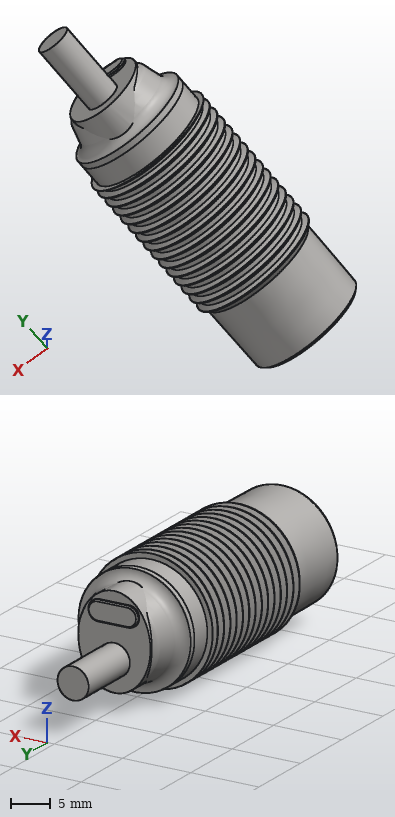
import cadquery as cq
import math


CAP_LENGTH = 10.1
THREAD_END = 32.0
BARREL_END = 35.1
RIM_END = 36.05
CONE_START = 37.55
PLUG_END = 40.9
CABLE_END = 50.9

CAP_FRONT_RADIUS = 8.15
CAP_CHAMFER = 0.35

CREST_RADIUS = 9.0
ROOT_RADIUS = 8.25
FIRST_CREST = 10.95
LAST_CREST = 30.75
RIDGE_COUNT = 14
RIDGE_PITCH = (LAST_CREST - FIRST_CREST) / (RIDGE_COUNT - 1)
CREST_FLAT = 0.15
FLANK_ANGLE = 25.0

CONE_BASE_RADIUS = 6.55
CONE_TOP_RADIUS = 5.9
CONE_TOP = 39.95
CHAMFER_RUN = PLUG_END - CONE_TOP
CONE_EDGE_FILLET = 0.85
SELECT_MARGIN = 0.05
HUB_HALF_WIDTH = 5.3
HUB_HALF_HEIGHT = 6.8

LAMP_WIDTH = 7.35
LAMP_HEIGHT = 2.95
LAMP_THICKNESS = 0.45
LAMP_CHAMFER = 0.2
LAMP_Z = 3.85

CABLE_RADIUS = 2.3
CABLE_Z = -2.4


def revolve_about_y(profile):
    """Turn a closed (radius, Y) profile about the Y axis."""
    return profile.close().revolve(360, (0, 0, 0), (0, 1, 0))


def plane_at(y):
    """Plane facing +Y at the given position, with local Y along global Z."""
    return cq.Workplane(cq.Plane(origin=(0, y, 0), xDir=(-1, 0, 0), normal=(0, 1, 0)))


def make_cap():
    """Slightly tapered cap with a chamfered sensing face."""
    profile = (
        cq.Workplane("XY")
        .lineTo(CAP_FRONT_RADIUS - CAP_CHAMFER, 0)
        .lineTo(CAP_FRONT_RADIUS, CAP_CHAMFER)
        .lineTo(ROOT_RADIUS, CAP_LENGTH)
        .lineTo(0, CAP_LENGTH)
    )
    return revolve_about_y(profile)


def make_barrel():
    """Barrel with a lead-in bevel, ring-shaped thread ridges and a plain rear neck."""
    half_crest = CREST_FLAT / 2
    half_base = half_crest + (CREST_RADIUS - ROOT_RADIUS) * math.tan(math.radians(FLANK_ANGLE))

    profile = cq.Workplane("XY").moveTo(0, CAP_LENGTH).lineTo(ROOT_RADIUS, CAP_LENGTH)
    for index in range(RIDGE_COUNT):
        crest = FIRST_CREST + index * RIDGE_PITCH
        if index > 0:
            profile = profile.lineTo(ROOT_RADIUS, crest - half_base)
        profile = (
            profile.lineTo(CREST_RADIUS, crest - half_crest)
            .lineTo(CREST_RADIUS, crest + half_crest)
            .lineTo(ROOT_RADIUS, crest + half_base)
        )
    profile = (
        profile.lineTo(ROOT_RADIUS, THREAD_END - half_base)
        .lineTo(CREST_RADIUS, THREAD_END - half_crest)
        .lineTo(CREST_RADIUS, THREAD_END)
        .lineTo(ROOT_RADIUS, THREAD_END)
        .lineTo(ROOT_RADIUS, BARREL_END)
        .lineTo(0, BARREL_END)
    )
    return revolve_about_y(profile)


def make_plug():
    """Rear plug: rim, hollow curve into a cone, and an oval hub standing through the cone."""
    arc_radius = ((ROOT_RADIUS - CONE_BASE_RADIUS) ** 2 + (CONE_START - RIM_END) ** 2) / (
        2 * (CONE_START - RIM_END)
    )
    profile = (
        cq.Workplane("XY")
        .moveTo(0, BARREL_END)
        .lineTo(ROOT_RADIUS, BARREL_END)
        .lineTo(ROOT_RADIUS, RIM_END)
        .radiusArc((CONE_BASE_RADIUS, CONE_START), arc_radius)
        .lineTo(CONE_TOP_RADIUS, CONE_TOP)
        .lineTo(CONE_TOP_RADIUS - CHAMFER_RUN, PLUG_END)
        .lineTo(0, PLUG_END)
    )
    cone_edge = cq.selectors.BoxSelector(
        (-CREST_RADIUS, CONE_TOP - SELECT_MARGIN, -CREST_RADIUS),
        (CREST_RADIUS, CONE_TOP + SELECT_MARGIN, CREST_RADIUS),
        boundingbox=True,
    )
    turned = revolve_about_y(profile).edges(cone_edge).fillet(CONE_EDGE_FILLET)
    hub = plane_at(RIM_END).ellipse(HUB_HALF_WIDTH, HUB_HALF_HEIGHT).extrude(PLUG_END - RIM_END)
    return turned.union(hub)


def make_lamp():
    """Oblong indicator lamp with a bevelled outer edge."""
    return (
        plane_at(PLUG_END)
        .center(0, LAMP_Z)
        .slot2D(LAMP_WIDTH, LAMP_HEIGHT)
        .extrude(LAMP_THICKNESS)
        .faces(">Y")
        .chamfer(LAMP_CHAMFER)
    )


def make_cable():
    """Round cable leaving the plug below the lamp."""
    return plane_at(PLUG_END).center(0, CABLE_Z).circle(CABLE_RADIUS).extrude(CABLE_END - PLUG_END)


cap = make_cap()
barrel = make_barrel()
plug = make_plug()
lamp = make_lamp()
cable = make_cable()

result = cq.Compound.makeCompound([cap.val(), barrel.val(), plug.val(), lamp.val(), cable.val()])